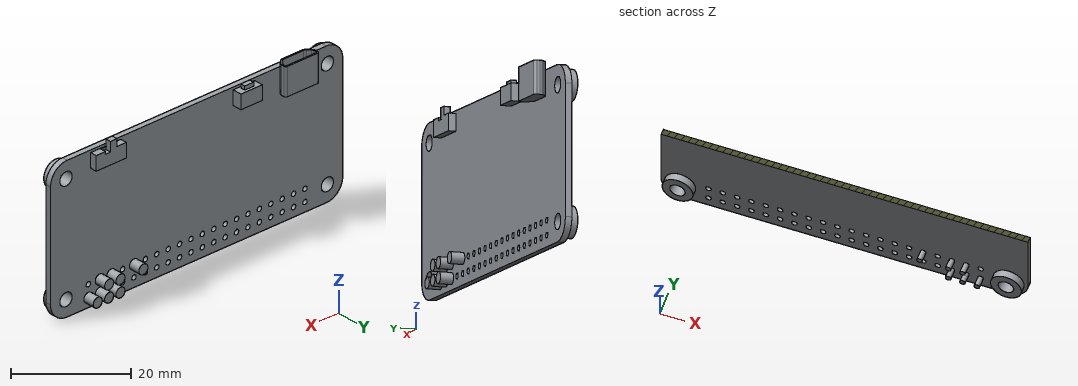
import cadquery as cq


board_length = 65.0
board_width = 29.95
board_thickness = 1.2
corner_radius = 3.7
board_top = board_width / 2
board_left = -board_length / 2

mount_inset = 3.45
mount_hole_diameter = 2.7
standoff_diameter = 5.45
standoff_height = 1.35

pin_columns = 20
pin_rows = 2
pin_pitch = 2.55
pin_diameter = 1.0
lower_row_height = 1.95
pin_projection = 1.9
sleeve_diameter = 2.0
sleeve_length = 2.35
lower_row = 0
upper_row = 1
fitted_pins = [
    (17, lower_row), (18, lower_row), (19, lower_row),
    (15, upper_row), (17, upper_row), (18, upper_row),
]

socket_width = 7.55
socket_height = 2.55
socket_length = 5.8
socket_overhang = 1.3
socket_center = board_left + 11.25
socket_chamfer = 1.2
socket_bend_radius = 1.0
socket_back_radius = 0.4
socket_wall = 0.3

body_recess = 0.5
body_depth = 3.0

button_body_width = 4.75
button_body_height = 1.95
button_center = board_left + 22.05
button_width = 2.0
button_height = 1.0
button_base = 0.4
button_overhang = 0.25

switch_body_width = 6.7
switch_body_height = 1.35
switch_center = board_left + 52.7
slot_width = 2.55
slot_depth = 0.5
slot_base = 0.2
knob_width = 1.4
knob_overhang = 1.0


def cylinder(diameter, x, z, y_start, y_end):
    """Cylinder along Y between two Y positions."""
    axis_start = cq.Vector(x, y_start, z)
    return cq.Workplane(cq.Solid.makeCylinder(diameter / 2, y_end - y_start, axis_start, cq.Vector(0, 1, 0)))


def block(x_left, width, y_start, y_end, z_bottom, z_top):
    """Box given by its left side, width, and Y and Z limits."""
    size = (width, y_end - y_start, z_top - z_bottom)
    return cq.Workplane().box(*size, centered=False).translate((x_left, y_start, z_bottom))


def make_board():
    board = cq.Workplane().box(board_length, board_thickness, board_width)
    return board.translate((0, board_thickness / 2, 0)).edges("|Y").fillet(corner_radius)


def mount_points():
    x = board_length / 2 - mount_inset
    z = board_width / 2 - mount_inset
    return [(-x, -z), (x, -z), (-x, z), (x, z)]


def pin_point(column, row):
    x = (column - (pin_columns - 1) / 2) * pin_pitch
    z = -board_width / 2 + lower_row_height + row * pin_pitch
    return x, z


def make_socket():
    """Tapered shell, narrow against the board and open at its +Z end."""
    z_top = board_top + socket_overhang
    z_bottom = z_top - socket_length
    body = block(
        socket_center - socket_width / 2, socket_width,
        board_thickness, board_thickness + socket_height, z_bottom, z_top,
    )
    body = body.edges("|Z and <Y").chamfer(socket_chamfer)
    lower_bends = cq.selectors.BoxSelector(
        (-board_length, board_thickness - socket_wall, -board_length),
        (board_length, board_thickness + socket_height / 2, board_length),
    )
    body = body.edges("|Z").edges(lower_bends).fillet(socket_bend_radius)
    body = body.edges("|Z and >Y").fillet(socket_back_radius)
    return body.faces(">Z").shell(-socket_wall)


def make_button():
    body_top = board_top - body_recess
    body = block(
        button_center - button_body_width / 2, button_body_width,
        board_thickness, board_thickness + button_body_height, body_top - body_depth, body_top,
    )
    plunger_start = board_thickness + button_base
    plunger = block(
        button_center - button_width / 2, button_width,
        plunger_start, plunger_start + button_height, body_top, board_top + button_overhang,
    )
    return body.union(plunger)


def make_switch():
    """Body with a slot for the sliding knob, which is at the slot's left end."""
    body_top = board_top - body_recess
    body_back = board_thickness + switch_body_height
    body = block(
        switch_center - switch_body_width / 2, switch_body_width,
        board_thickness, body_back, body_top - body_depth, body_top,
    )
    slot_left = switch_center - slot_width / 2
    slot_start = board_thickness + slot_base
    slot_floor = body_top - slot_depth
    slot = block(slot_left, slot_width, slot_start, body_back, slot_floor, body_top)
    knob = block(slot_left, knob_width, slot_start, body_back, slot_floor, board_top + knob_overhang)
    return body.cut(slot).union(knob)


result = make_board()

for x, z in mount_points():
    result = result.union(cylinder(standoff_diameter, x, z, -standoff_height, board_thickness))
for x, z in mount_points():
    result = result.cut(cylinder(mount_hole_diameter, x, z, -standoff_height, board_thickness))

for row in range(pin_rows):
    for column in range(pin_columns):
        x, z = pin_point(column, row)
        if (column, row) in fitted_pins:
            sleeve_end = board_thickness + sleeve_length
            result = result.union(cylinder(pin_diameter, x, z, -pin_projection, board_thickness))
            result = result.union(cylinder(sleeve_diameter, x, z, board_thickness, sleeve_end))
        else:
            result = result.cut(cylinder(pin_diameter, x, z, 0, board_thickness))

result = result.union(make_socket()).union(make_button()).union(make_switch())